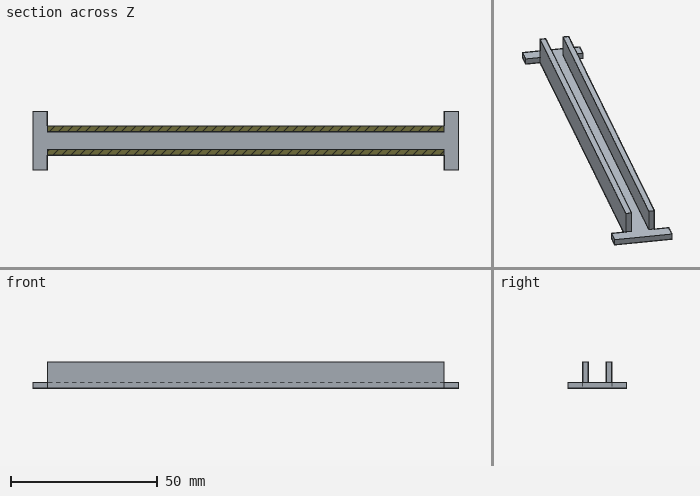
import cadquery as cq

length = 145.0
end_bar_width = 20.0
height = 9.0

end_bar_length = 5.0
floor_thickness = 2.0
channel_width = 10.0
wall_thickness = 2.0

channel_length = length - 2 * end_bar_length
wall_height = height - floor_thickness
wall_offset = (channel_width - wall_thickness) / 2
end_bar_offset = (length - end_bar_length) / 2


def block(size_x, size_y, size_z, x=0.0, y=0.0, z=0.0):
    """Box centred on (x, y) with its underside at height z."""
    return cq.Workplane("XY").box(size_x, size_y, size_z, centered=(True, True, False)).translate((x, y, z))


result = block(channel_length, channel_width, floor_thickness)

for side in (-1, 1):
    end_bar = block(end_bar_length, end_bar_width, floor_thickness, x=side * end_bar_offset)
    wall = block(channel_length, wall_thickness, wall_height, y=side * wall_offset, z=floor_thickness)
    result = result.union(end_bar).union(wall)